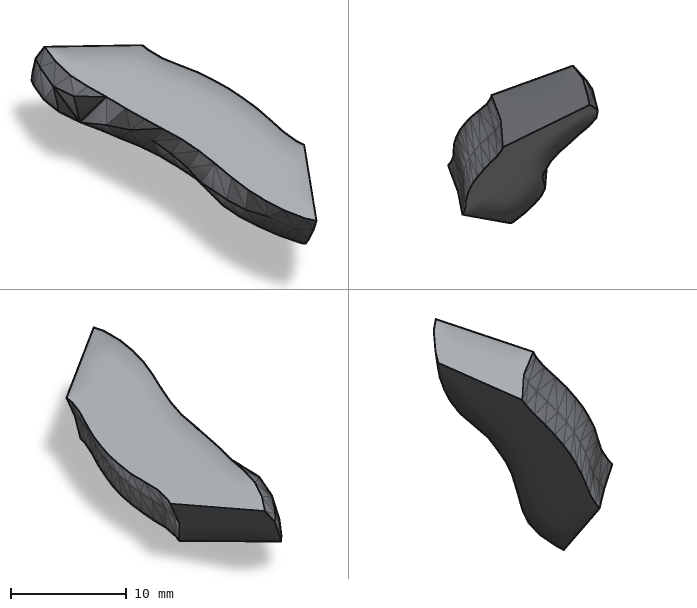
import cadquery as cq


TOP_HEIGHT, TOP_SLOPE = 2.48, -0.16
BOTTOM_HEIGHT, BOTTOM_SLOPE = -1.9, -0.31

LEFT_MITRE = (-12.12, 0.99, -0.29)
RIGHT_MITRE = (12.1, -0.94, 0.32)

BACK_HOLLOW = 0.28

TOP_FRONT_LEFT_Y = -2.0
TOP_FRONT_RIGHT_Y = -2.45
TOP_FRONT = [
    (-13.13, -2.72), (-11.15, -3.18), (-9.25, -3.2), (-7.25, -3.1), (-5.17, -3.05),
    (-3.2, -2.95), (-1.35, -2.8), (0.6, -2.65), (2.63, -2.75), (4.55, -3.0),
    (6.67, -3.35), (8.63, -3.55), (10.5, -3.55), (12.42, -3.37), (14.32, -2.9),
]

BOTTOM_FRONT_LEFT_Y = -3.4
BOTTOM_FRONT_RIGHT_Y = -2.65
BOTTOM_FRONT = [
    (-14.65, -3.8), (-12.9, -4.62), (-11.02, -4.9), (-8.97, -4.62), (-7.13, -4.1),
    (-5.23, -3.67), (-3.37, -3.2), (-1.45, -2.95), (0.55, -2.9), (2.48, -2.97),
    (4.38, -3.5), (6.2, -4.0), (8.2, -4.1), (10.07, -3.9), (12.03, -3.5), (13.92, -2.88),
]
DIP_INDEX = 3

RIDGE_BEFORE_DIP = [(-14.4, -3.3, 1.68), (-12.12, -4.3, 1.77), (-9.82, -4.38, 2.3)]
RIDGE_AFTER_DIP = [
    (-6.33, -4.3, 0.95), (-4.2, -3.67, 1.32), (-2.08, -3.15, 0.95), (-0.15, -3.15, 0.7),
    (1.8, -3.27, 0.3), (3.43, -3.55, -0.1), (4.93, -3.85, 0.37), (6.8, -4.2, 0.83),
    (8.85, -4.15, 0.98), (11.02, -3.8, 1.4), (13.5, -3.2, 1.05),
]

UPPER_STRETCHES = [(5, 6, 1.0), (10, 10, 1.8), (12, 14, 0.5), (16, 16, 1.0)]
LEFT_RIDGE_LEAD = 0.7

LEFT_RIDGE_END = (-2.75, 1.55)
LEFT_LOWER_CORNER = (-3.18, 0.05)
RIGHT_RIDGE_END = (-2.7, 1.77)
RIGHT_LOWER_CORNER = (-2.75, 0.0)

TOP_BACK_LEFT_Y = 3.92
TOP_BACK_RIGHT_Y = 4.0
TOP_BACK = [
    (-8.1, 3.82), (-6.55, 3.85), (-4.9, 4.22), (-3.2, 4.62), (-1.53, 4.8), (0.0, 4.9),
    (1.53, 4.85), (3.2, 4.68), (4.9, 4.38), (6.55, 4.05), (8.1, 3.92),
]
BOTTOM_BACK_LEFT_Y = 2.85
BOTTOM_BACK_RIGHT_Y = 2.8
BOTTOM_BACK = [
    (-7.8, 2.78), (-6.27, 2.88), (-4.75, 3.18), (-3.12, 3.43), (-1.53, 3.6), (0.0, 3.7),
    (1.53, 3.67), (3.12, 3.52), (4.75, 3.3), (6.27, 3.0), (7.8, 2.8),
]


def on_top(x, y):
    return (x, y, TOP_HEIGHT + TOP_SLOPE * y)


def on_bottom(x, y):
    return (x, y, BOTTOM_HEIGHT + BOTTOM_SLOPE * y)


def on_mitre(mitre, y, z):
    x_at_origin, x_per_y, x_per_z = mitre
    return (x_at_origin + x_per_y * y + x_per_z * z, y, z)


def rim(place, left_y, points, right_y):
    """Points of one rim, from the left mitre to the right, on the top or bottom plane."""
    left = on_mitre(LEFT_MITRE, left_y, place(0, left_y)[2])
    right = on_mitre(RIGHT_MITRE, right_y, place(0, right_y)[2])
    return [left] + [place(x, y) for x, y in points] + [right]


def hollow_point(mitre, upper, lower):
    """Point halfway between two rim points, sunk into the back and kept on any given mitre."""
    x, y, z = [(u + v) / 2 for u, v in zip(upper, lower)]
    y -= BACK_HOLLOW
    return on_mitre(mitre, y, z) if mitre else (x, y, z)


def planar_face(points):
    return cq.Face.makeFromWires(cq.Wire.makePolygon([cq.Vector(*p) for p in points], close=True))


def distance(p, q):
    return (cq.Vector(*p) - cq.Vector(*q)).Length


def stitch(first, second, first_lead=1.0):
    """Triangles joining two chains of points, taking the shorter next diagonal.

    A first_lead above 1 lets the first chain run ahead; below 1, the second chain does.
    """
    faces = []
    i = j = 0
    while i < len(first) - 1 or j < len(second) - 1:
        if j == len(second) - 1:
            step_first = True
        elif i == len(first) - 1:
            step_first = False
        else:
            step_first = distance(first[i + 1], second[j]) <= first_lead * distance(first[i], second[j + 1])
        corner = first[i + 1] if step_first else second[j + 1]
        if len({first[i], second[j], corner}) == 3:
            faces.append(planar_face([first[i], second[j], corner]))
        if step_first:
            i += 1
        else:
            j += 1
    return faces


top_front = rim(on_top, TOP_FRONT_LEFT_Y, TOP_FRONT, TOP_FRONT_RIGHT_Y)
bottom_front = rim(on_bottom, BOTTOM_FRONT_LEFT_Y, BOTTOM_FRONT, BOTTOM_FRONT_RIGHT_Y)
top_back = rim(on_top, TOP_BACK_LEFT_Y, TOP_BACK, TOP_BACK_RIGHT_Y)
bottom_back = rim(on_bottom, BOTTOM_BACK_LEFT_Y, BOTTOM_BACK, BOTTOM_BACK_RIGHT_Y)

ridge = (
    [on_mitre(LEFT_MITRE, *LEFT_RIDGE_END)]
    + RIDGE_BEFORE_DIP
    + [on_bottom(*BOTTOM_FRONT[DIP_INDEX])]
    + RIDGE_AFTER_DIP
    + [on_mitre(RIGHT_MITRE, *RIGHT_RIDGE_END)]
)
left_lower = on_mitre(LEFT_MITRE, *LEFT_LOWER_CORNER)
right_lower = on_mitre(RIGHT_MITRE, *RIGHT_LOWER_CORNER)

back_mitres = [LEFT_MITRE] + [None] * len(TOP_BACK) + [RIGHT_MITRE]
hollow = [hollow_point(*row) for row in zip(back_mitres, top_back, bottom_back)]

faces = [
    planar_face(top_front + top_back[::-1]),
    planar_face(bottom_front + bottom_back[::-1]),
    planar_face([top_front[0], ridge[0], left_lower, bottom_front[0], bottom_back[0], hollow[0], top_back[0]]),
    planar_face(
        [top_front[-1], ridge[-1], right_lower, bottom_front[-1], bottom_back[-1], hollow[-1], top_back[-1]]
    ),
]
upper_start = 0
ridge_start = 0
for upper_end, ridge_end, upper_lead in UPPER_STRETCHES:
    upper_stretch = top_front[upper_start : upper_end + 1]
    ridge_stretch = ridge[ridge_start : ridge_end + 1]
    faces += stitch(upper_stretch, ridge_stretch, upper_lead)
    upper_start, ridge_start = upper_end, ridge_end

lower_chain = [left_lower] + bottom_front[1:-1] + [right_lower]
ridge_dip = 1 + len(RIDGE_BEFORE_DIP)
lower_dip = 1 + DIP_INDEX
faces += stitch(ridge[: ridge_dip + 1], lower_chain[: lower_dip + 1], LEFT_RIDGE_LEAD)
faces += stitch(ridge[ridge_dip:], lower_chain[lower_dip:])
faces.append(planar_face([left_lower, bottom_front[0], bottom_front[1]]))
faces.append(planar_face([right_lower, bottom_front[-1], bottom_front[-2]]))

faces += stitch(top_back, hollow)
faces += stitch(hollow, bottom_back)

result = cq.Workplane(cq.Solid.makeSolid(cq.Shell.makeShell(faces)))